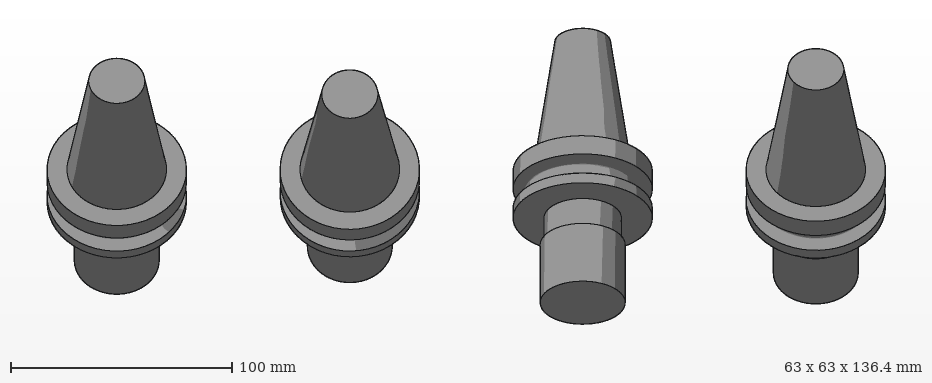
import cadquery as cq

total_length = 136.4
taper_length = 67.4
taper_ratio = 7 / 24
taper_base_diameter = 45.0

flange_diameter = 63.0
flange_thickness = 24.7
upper_rim = 9.5
lower_rim = 5.2
groove_floor_diameter = 53.0
groove_floor_width = 4.6
groove_corner_radius = 0.5

neck_diameter = 35.0
nut_diameter = 38.5
nut_length = 30.3

taper_base_radius = taper_base_diameter / 2
tip_radius = taper_base_radius - taper_length * taper_ratio / 2
flange_radius = flange_diameter / 2
groove_radius = groove_floor_diameter / 2
neck_radius = neck_diameter / 2
nut_radius = nut_diameter / 2

flange_top = total_length - taper_length
flange_bottom = flange_top - flange_thickness
groove_top = flange_top - upper_rim
groove_bottom = flange_bottom + lower_rim
groove_middle = (groove_top + groove_bottom) / 2
floor_top = groove_middle + groove_floor_width / 2
floor_bottom = groove_middle - groove_floor_width / 2

half_section = [
    (0, 0),
    (nut_radius, 0),
    (nut_radius, nut_length),
    (neck_radius, nut_length),
    (neck_radius, flange_bottom),
    (flange_radius, flange_bottom),
    (flange_radius, groove_bottom),
    (groove_radius, floor_bottom),
    (groove_radius, floor_top),
    (flange_radius, groove_top),
    (flange_radius, flange_top),
    (taper_base_radius, flange_top),
    (tip_radius, total_length),
    (0, total_length),
]

holder = cq.Workplane("XZ").polyline(half_section).close().revolve(360, (0, 0, 0), (0, 1, 0))

tolerance = 0.01
floor_edges = cq.selectors.BoxSelector(
    (-flange_radius, -flange_radius, floor_bottom - tolerance),
    (flange_radius, flange_radius, floor_top + tolerance),
    boundingbox=True,
)
result = holder.edges(floor_edges).edges("%CIRCLE").fillet(groove_corner_radius)